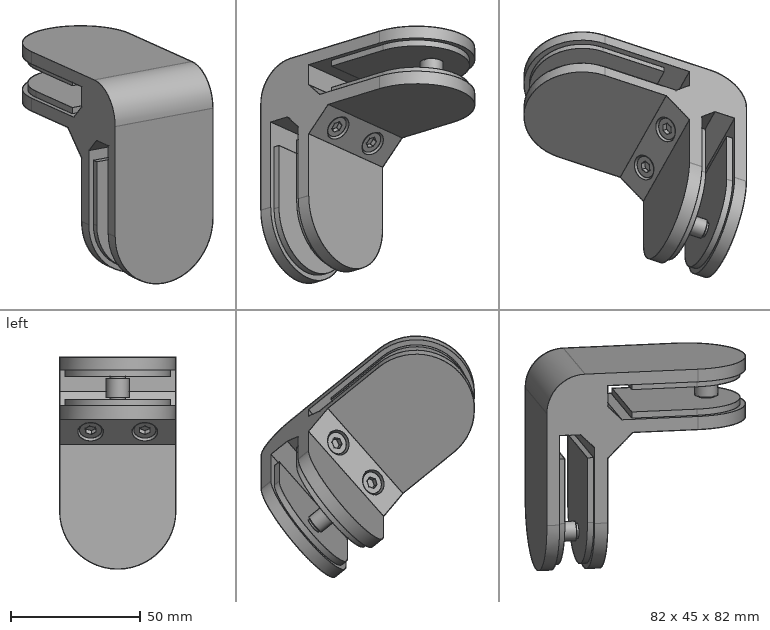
import cadquery as cq
import math


ARM_LENGTH = 82.0
WIDTH = 45.0
STACK = 24.0
OUTER_WALL = 5.0
INNER_WALL = 5.25
CORNER_RADIUS = 15.0
CORNER_BEVEL = 9.75
SLOT_BEVEL = 5.5
END_RADIUS = WIDTH / 2
SLOT_LENGTH = ARM_LENGTH - STACK
INNER_FACE = STACK - INNER_WALL

PAD_INSET = 2.05
PAD_THICKNESS = 2.5
PAD_RADIUS = END_RADIUS - PAD_INSET
PAD_LENGTH = SLOT_LENGTH - CORNER_BEVEL - PAD_INSET

NECK_DIAMETER = 6.0
LOOSE_PIN_DIAMETER = 9.0
LOOSE_PIN_BODY = 7.4
LOOSE_PIN_SETBACK = 15.0
FIXED_PIN_DIAMETER = 7.6
FIXED_PIN_BODY = 6.9
FIXED_PIN_SETBACK = 14.5

SCREW_OFFSET = 10.5
COUNTERBORE_DIAMETER = 9.8
HEAD_DIAMETER = 8.5
HEAD_SINK = 0.9
HEAD_HEIGHT = 5.0
COUNTERBORE_DEPTH = HEAD_SINK + HEAD_HEIGHT
SHANK_DIAMETER = 5.0
SHANK_LENGTH = 16.4
HEX_ACROSS_FLATS = 4.0
HEX_DEPTH = 2.05
HEX_TURNS = {-SCREW_OFFSET: 0.0, SCREW_OFFSET: -9.0}


def to_down_arm(part):
    """Half turn about the corner's diagonal, which swaps X with Z."""
    return part.rotate((0, 0, 0), (1, 0, 1), 180)


def tongue(length, radius, end_x, top_z, thickness):
    """Flat tongue along X whose -X end is a half circle."""
    straight = length - radius
    start_x = end_x + radius
    return (
        cq.Workplane("XY", origin=(0, 0, top_z - thickness))
        .moveTo(start_x, -radius)
        .lineTo(start_x + straight, -radius)
        .lineTo(start_x + straight, radius)
        .lineTo(start_x, radius)
        .threePointArc((end_x, 0), (start_x, -radius))
        .close()
        .extrude(thickness)
    )



def neck_hole(setback):
    """Cylinder through the whole -X arm on a pin axis."""
    return (
        cq.Workplane("XY", origin=(setback - ARM_LENGTH, 0, -STACK))
        .circle(NECK_DIAMETER / 2)
        .extrude(STACK)
    )


def make_pad(top_z, pin_setback):
    """Pad in the -X arm, pierced by the pin neck."""
    pad = tongue(PAD_LENGTH, PAD_RADIUS, PAD_INSET - ARM_LENGTH, top_z, PAD_THICKNESS)
    return pad.cut(neck_hole(pin_setback))


PAD_TOPS = (-OUTER_WALL, PAD_THICKNESS - INNER_FACE)



def make_pin(diameter, body_length, setback):
    """Pin across the slot of the -X arm: thick middle, with necks reaching both walls."""
    slot_height = INNER_FACE - OUTER_WALL
    neck_length = (slot_height - body_length) / 2
    neck = (
        cq.Workplane("XY", origin=(setback - ARM_LENGTH, 0, -INNER_FACE))
        .circle(NECK_DIAMETER / 2)
        .extrude(slot_height)
    )
    body = (
        cq.Workplane("XY", origin=(setback - ARM_LENGTH, 0, neck_length - INNER_FACE))
        .circle(diameter / 2)
        .extrude(body_length)
    )
    return neck.union(body)



def bevel_plane(y, depth):
    """Plane parallel to the corner bevel, the given depth into the clamp, facing inward."""
    middle = -STACK - CORNER_BEVEL / 2 + depth * math.sqrt(0.5)
    return cq.Plane(origin=(middle, y, middle), xDir=(0, 1, 0), normal=(1, 0, 1))


def screw_shank(y):
    """Plain shank, starting under the head."""
    return (
        cq.Workplane(bevel_plane(y, COUNTERBORE_DEPTH))
        .circle(SHANK_DIAMETER / 2)
        .extrude(SHANK_LENGTH)
    )


def make_screw(y, hex_turn):
    """Screw with a hexagon socket, a corner of which points up the bevel at zero turn."""
    corner_angle = 90 + hex_turn
    across_corners = HEX_ACROSS_FLATS / math.cos(math.radians(30))
    socket = (
        cq.Workplane(bevel_plane(y, HEAD_SINK).rotated((0, 0, corner_angle)))
        .polygon(6, across_corners)
        .extrude(HEX_DEPTH)
    )
    head = cq.Workplane(bevel_plane(y, HEAD_SINK)).circle(HEAD_DIAMETER / 2).extrude(HEAD_HEIGHT)
    return head.union(screw_shank(y)).cut(socket)


def screw_hole(y):
    """Hole that the shank fills, with a counterbore that leaves a gap around the head."""
    counterbore = (
        cq.Workplane(bevel_plane(y, 0))
        .circle(COUNTERBORE_DIAMETER / 2)
        .extrude(COUNTERBORE_DEPTH)
    )
    return counterbore.union(screw_shank(y))



def corner_profile():
    """L outline with both slots open at the arm ends, extruded over the full width."""
    arc_middle = -CORNER_RADIUS * (1 - math.sqrt(0.5))
    return (
        cq.Workplane("XZ", origin=(0, WIDTH / 2, 0))
        .moveTo(-ARM_LENGTH, 0)
        .lineTo(-CORNER_RADIUS, 0)
        .threePointArc((arc_middle, arc_middle), (0, -CORNER_RADIUS))
        .lineTo(0, -ARM_LENGTH)
        .lineTo(-OUTER_WALL, -ARM_LENGTH)
        .lineTo(-OUTER_WALL, -STACK)
        .lineTo(SLOT_BEVEL - INNER_FACE, -STACK)
        .lineTo(-INNER_FACE, -STACK - SLOT_BEVEL)
        .lineTo(-INNER_FACE, -ARM_LENGTH)
        .lineTo(-STACK, -ARM_LENGTH)
        .lineTo(-STACK, -STACK - CORNER_BEVEL)
        .lineTo(-STACK - CORNER_BEVEL, -STACK)
        .lineTo(-ARM_LENGTH, -STACK)
        .lineTo(-ARM_LENGTH, -INNER_FACE)
        .lineTo(-STACK - SLOT_BEVEL, -INNER_FACE)
        .lineTo(-STACK, SLOT_BEVEL - INNER_FACE)
        .lineTo(-STACK, -OUTER_WALL)
        .lineTo(-ARM_LENGTH, -OUTER_WALL)
        .close()
        .extrude(WIDTH)
    )


def make_clamp():
    """Forked corner with rounded arm ends, the down arm's fixed pin and the screw holes."""
    side_limit = tongue(ARM_LENGTH, END_RADIUS, -ARM_LENGTH, 0, ARM_LENGTH)
    clamp = corner_profile().intersect(side_limit).intersect(to_down_arm(side_limit))
    clamp = clamp.union(to_down_arm(make_pin(FIXED_PIN_DIAMETER, FIXED_PIN_BODY, FIXED_PIN_SETBACK)))
    for y in HEX_TURNS:
        clamp = clamp.cut(screw_hole(y))
    return clamp



clamp = make_clamp()
loose_pin = make_pin(LOOSE_PIN_DIAMETER, LOOSE_PIN_BODY, LOOSE_PIN_SETBACK)

pads = []
for top_z in PAD_TOPS:
    pads.append(make_pad(top_z, LOOSE_PIN_SETBACK).val())
    pads.append(to_down_arm(make_pad(top_z, FIXED_PIN_SETBACK)).val())

screws = [make_screw(y, hex_turn).val() for y, hex_turn in HEX_TURNS.items()]

result = cq.Compound.makeCompound([clamp.val(), loose_pin.val(), *pads, *screws])